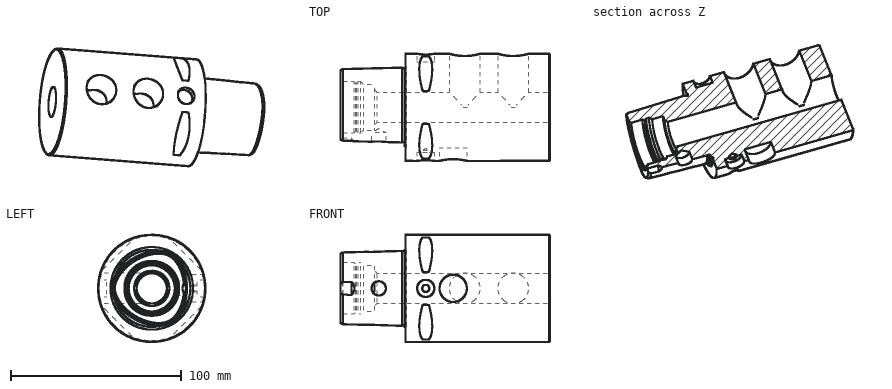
import cadquery as cq
import math


TOTAL_LENGTH = 123.0
BODY_RADIUS = 31.5
BODY_START = 38.1
BODY_END_CHAMFER = 0.7

SHANK_END = 36.0
POLYGON_BASE_WIDTH = 44.0
POLYGON_LOBE_HEIGHT = 1.4
POLYGON_TAPER = 1 / 20
POLYGON_POINTS = 36
SHANK_CHAMFER_LENGTH = 1.5
SHANK_CHAMFER_DEPTH = 0.9

NECK_UNDERCUT = 0.2
COLLAR_RADIUS = 22.6
COLLAR_START = 37.5
GROOVE_OUTER_RADIUS = 24.2
GROOVE_DEPTH = 0.6

MOUTH_RADIUS = 16.1
ENTRY_RADIUS = 15.1
ENTRY_START = 1.1
ENTRY_END = 7.9
LIP_RADIUS = 14.0
LIP_START = 9.0
LIP_END = 9.5
RELIEF_RADIUS = 15.1
RELIEF_START = 10.2
RELIEF_END = 11.9
INNER_RADIUS = 13.5
INNER_START = 13.4
SHOULDER_POSITION = 20.0
CONE_RADIUS = 10.3
THROUGH_RADIUS = 8.9
CONE_LENGTH = CONE_RADIUS - THROUGH_RADIUS

SLOT_POSITION = 50.0
SLOT_COUNT = 4
SLOT_FLOOR_DISTANCE = 28.0
SLOT_FLOOR_WIDTH = 3.7
SLOT_SIDE_ANGLE = 30.0
SLOT_FLOOR_FILLET = 0.6

CHIP_HOLE_RADIUS = 5.0
CHIP_HOLE_FLOOR = 26.6
CHIP_PILOT_RADIUS = 2.1
CHIP_PILOT_DEPTH = 1.2

BALANCE_HOLE_POSITION = 66.2
BALANCE_HOLE_RADIUS = 8.0
BALANCE_HOLE_FLOOR = 23.7

SCREW_HOLE_RADIUS = 9.0
SCREW_HOLE_POSITIONS = (73.0, 101.4)

FLANK_HOLE_POSITION = 22.5
FLANK_HOLE_RADIUS = 4.2
FLANK_HOLE_FLOOR = 14.9

KEY_RADIUS = 5.3
KEY_AXIS_DISTANCE = 23.4
KEY_LENGTH = 6.4

DRILL_HALF_ANGLE = 60.0


def revolved(profile):
    """Solid of revolution about X from (x, radius) points."""
    return cq.Workplane("XY").polyline(profile).close().revolve(360, (0, 0, 0), (1, 0, 0))


def polygon_width(x):
    return POLYGON_BASE_WIDTH - (SHANK_END - x) * POLYGON_TAPER


def polygon_point(width, angle):
    """Point of the polygon whose tangent's normal is at the given angle from +Y."""
    return (
        width / 2 * math.cos(angle)
        + POLYGON_LOBE_HEIGHT * (2 * math.cos(2 * angle) - math.cos(4 * angle)),
        width / 2 * math.sin(angle)
        - POLYGON_LOBE_HEIGHT * (2 * math.sin(2 * angle) + math.sin(4 * angle)),
    )


def polygon_wire(x, width):
    step = 2 * math.pi / POLYGON_POINTS
    points = [cq.Vector(x, *polygon_point(width, i * step)) for i in range(POLYGON_POINTS)]
    return cq.Wire.assembleEdges([cq.Edge.makeSpline(points, periodic=True)])


def polygon_loft(start, start_width, end, end_width):
    """Straight-sided solid between two polygons at different places along X."""
    wires = [polygon_wire(start, start_width), polygon_wire(end, end_width)]
    return cq.Workplane(obj=cq.Solid.makeLoft(wires, True))


def make_shank():
    chamfer_width = polygon_width(SHANK_CHAMFER_LENGTH)
    tip = polygon_loft(0, chamfer_width - 2 * SHANK_CHAMFER_DEPTH, SHANK_CHAMFER_LENGTH, chamfer_width)
    taper = polygon_loft(SHANK_CHAMFER_LENGTH, chamfer_width, SHANK_END, polygon_width(SHANK_END))
    neck_width = polygon_width(SHANK_END) - 2 * NECK_UNDERCUT
    neck = polygon_loft(SHANK_END, neck_width, COLLAR_START, neck_width)
    return tip.union(taper).union(neck)


def make_body():
    """Cylindrical body with a raised collar and a shallow ring groove on its front face."""
    groove_middle = (COLLAR_RADIUS + GROOVE_OUTER_RADIUS) / 2
    profile = (
        cq.Workplane("XY")
        .moveTo(COLLAR_START, 0)
        .lineTo(COLLAR_START, COLLAR_RADIUS)
        .lineTo(BODY_START, COLLAR_RADIUS)
        .threePointArc((BODY_START + GROOVE_DEPTH, groove_middle), (BODY_START, GROOVE_OUTER_RADIUS))
        .lineTo(BODY_START, BODY_RADIUS)
        .lineTo(TOTAL_LENGTH - BODY_END_CHAMFER, BODY_RADIUS)
        .lineTo(TOTAL_LENGTH, BODY_RADIUS - BODY_END_CHAMFER)
        .lineTo(TOTAL_LENGTH, 0)
        .close()
    )
    return profile.revolve(360, (0, 0, 0), (1, 0, 0))


def make_bore():
    return revolved([
        (0, 0),
        (0, MOUTH_RADIUS),
        (ENTRY_START, ENTRY_RADIUS),
        (ENTRY_END, ENTRY_RADIUS),
        (LIP_START, LIP_RADIUS),
        (LIP_END, LIP_RADIUS),
        (RELIEF_START, RELIEF_RADIUS),
        (RELIEF_END, RELIEF_RADIUS),
        (INNER_START, INNER_RADIUS),
        (SHOULDER_POSITION, INNER_RADIUS),
        (SHOULDER_POSITION, CONE_RADIUS),
        (SHOULDER_POSITION + CONE_LENGTH, THROUGH_RADIUS),
        (TOTAL_LENGTH, THROUGH_RADIUS),
        (TOTAL_LENGTH, 0),
    ])


def make_slots():
    depth = BODY_RADIUS - SLOT_FLOOR_DISTANCE
    half_floor = SLOT_FLOOR_WIDTH / 2
    half_top = half_floor + depth * math.tan(math.radians(SLOT_SIDE_ANGLE))
    slot = (
        cq.Workplane("XZ")
        .polyline([
            (SLOT_POSITION - half_floor, SLOT_FLOOR_DISTANCE),
            (SLOT_POSITION + half_floor, SLOT_FLOOR_DISTANCE),
            (SLOT_POSITION + half_top, BODY_RADIUS),
            (SLOT_POSITION - half_top, BODY_RADIUS),
        ])
        .close()
        .extrude(BODY_RADIUS, both=True)
        .faces("<Z")
        .edges("|Y")
        .fillet(SLOT_FLOOR_FILLET)
    )
    pitch = 360 / SLOT_COUNT
    return [slot.rotate((0, 0, 0), (1, 0, 0), (i + 0.5) * pitch) for i in range(SLOT_COUNT)]


def side_hole(x, radius, inner, outer):
    """Round cutter along Y between two values of y."""
    return cq.Workplane(
        obj=cq.Solid.makeCylinder(radius, outer - inner, cq.Vector(x, inner, 0), cq.Vector(0, 1, 0))
    )


def drill_tip(x, radius, y):
    """Conical bottom for a hole drilled toward +Y, starting at the given y."""
    length = radius / math.tan(math.radians(DRILL_HALF_ANGLE))
    return cq.Workplane(
        obj=cq.Solid.makeCone(radius, 0, length, cq.Vector(x, y, 0), cq.Vector(0, 1, 0))
    )


def cut_side_holes(part):
    """Cut every hole whose axis lies along Y."""
    pilot_floor = CHIP_HOLE_FLOOR - CHIP_PILOT_DEPTH
    part = part.cut(side_hole(SLOT_POSITION, CHIP_HOLE_RADIUS, -BODY_RADIUS, -CHIP_HOLE_FLOOR))
    part = part.cut(side_hole(SLOT_POSITION, CHIP_HOLE_RADIUS, CHIP_HOLE_FLOOR, BODY_RADIUS))
    part = part.cut(side_hole(SLOT_POSITION, CHIP_PILOT_RADIUS, -CHIP_HOLE_FLOOR, -pilot_floor))
    part = part.cut(drill_tip(SLOT_POSITION, CHIP_PILOT_RADIUS, -pilot_floor))
    part = part.cut(
        side_hole(BALANCE_HOLE_POSITION, BALANCE_HOLE_RADIUS, -BODY_RADIUS, -BALANCE_HOLE_FLOOR)
    )
    part = part.cut(side_hole(FLANK_HOLE_POSITION, FLANK_HOLE_RADIUS, -BODY_RADIUS, -FLANK_HOLE_FLOOR))
    part = part.cut(drill_tip(FLANK_HOLE_POSITION, FLANK_HOLE_RADIUS, -FLANK_HOLE_FLOOR))
    for x in SCREW_HOLE_POSITIONS:
        part = part.cut(side_hole(x, SCREW_HOLE_RADIUS, 0, BODY_RADIUS))
    return part


def make_key_groove():
    """Round groove along X whose end narrows in a 45 degree cone."""
    profile = [(0, 0), (0, KEY_RADIUS), (KEY_LENGTH, KEY_RADIUS), (KEY_LENGTH + KEY_RADIUS, 0)]
    return revolved(profile).translate((0, -KEY_AXIS_DISTANCE, 0))


def make_housing():
    housing = make_shank().union(make_body()).cut(make_bore())
    for slot in make_slots():
        housing = housing.cut(slot)
    housing = cut_side_holes(housing)
    return housing.cut(make_key_groove())


housing = make_housing()
result = cq.Compound.makeCompound([housing.val()])